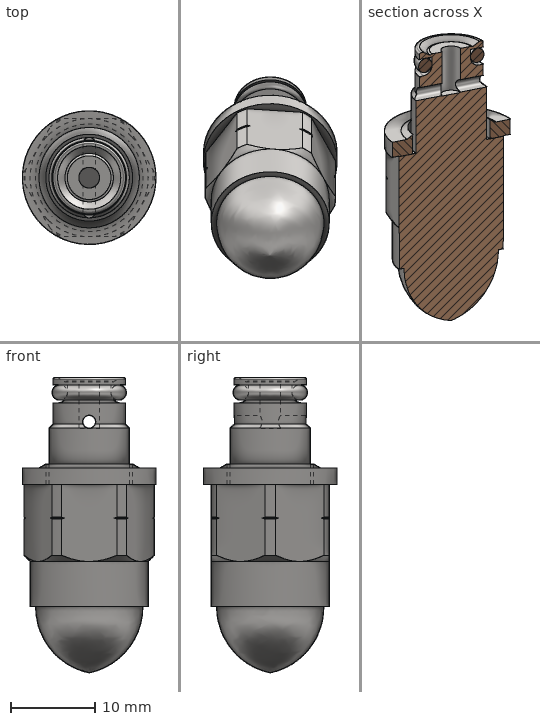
import cadquery as cq
import math


nose_length = 7.85
nose_radius = 6.37
barrel_radius = 7.0
barrel_top = 13.2

hex_top = 22.3
hex_flat_width = 2 * barrel_radius
hex_corner_radius = 7.75
mark_height = 18.35
mark_depth = 0.15
mark_half_width = 0.1

total_height = 35.02
stem_radius = 4.75
neck_radius = 4.3
stem_shoulder_top = 29.5
neck_edge_fillet = 0.25

ring_section_radius = 0.9
ring_outer_radius = 4.4
groove_top = 34.15
groove_bottom = 32.0
groove_floor_radius = ring_outer_radius - 2 * ring_section_radius
groove_fillet = 1.15

seat_outer_radius = 3.75
seat_inner_radius = 2.87
seat_depth = 0.53
plug_radius = 2.6
plug_rise = 0.1
bore_radius = 1.23
bore_bottom = 28.95
cross_hole_diameter = 1.5
cross_hole_height = 29.75

washer_diameter = 15.85
washer_bore_radius = 5.15
washer_thickness = 2.0
collar_base_radius = 5.95
collar_height = 0.45


def revolve_about_z(profile):
    """Turn a closed XZ profile a full turn about the Z axis."""
    return profile.close().revolve(360, (0, 0, 0), (0, 1, 0))


def cylinder(radius, bottom, top):
    return cq.Workplane("XY").workplane(offset=bottom).circle(radius).extrude(top - bottom)


def make_nose():
    """Pointed ogive whose side meets the barrel face vertically."""
    arc_radius = (nose_length**2 + nose_radius**2) / (2 * nose_radius)
    half_sweep = math.asin(nose_length / arc_radius) / 2
    arc_center_x = nose_radius - arc_radius
    arc_middle = (
        arc_center_x + arc_radius * math.cos(half_sweep),
        nose_length - arc_radius * math.sin(half_sweep),
    )
    profile = (
        cq.Workplane("XZ")
        .moveTo(0, 0)
        .threePointArc(arc_middle, (nose_radius, nose_length))
        .lineTo(0, nose_length)
    )
    return revolve_about_z(profile)


def make_hexagon():
    """Hexagon with flats facing +Y and -Y, trimmed by a turned envelope."""
    across_corners = hex_flat_width / math.cos(math.pi / 6)
    prism = (
        cq.Workplane("XY")
        .workplane(offset=barrel_top)
        .polygon(6, across_corners)
        .extrude(hex_top - barrel_top)
    )
    chamfer = hex_corner_radius - barrel_radius
    envelope = (
        cq.Workplane("XZ")
        .moveTo(0, barrel_top)
        .lineTo(barrel_radius, barrel_top)
        .lineTo(hex_corner_radius, barrel_top + chamfer)
        .lineTo(hex_corner_radius, mark_height - mark_half_width)
        .lineTo(hex_corner_radius - mark_depth, mark_height)
        .lineTo(hex_corner_radius, mark_height + mark_half_width)
        .lineTo(hex_corner_radius, hex_top)
        .lineTo(0, hex_top)
    )
    return prism.intersect(revolve_about_z(envelope))


def make_stem():
    """Stepped stem with the O-ring groove and the conical seat in its top."""
    shoulder_chamfer = stem_radius - neck_radius
    arc_offset = groove_fillet * (1 - math.sqrt(0.5))
    seat_bottom = total_height - seat_depth
    plug_top = seat_bottom + plug_rise
    edge_offset = neck_edge_fillet * (1 - math.sqrt(0.5))
    profile = (
        cq.Workplane("XZ")
        .moveTo(0, hex_top)
        .lineTo(stem_radius, hex_top)
        .lineTo(stem_radius, stem_shoulder_top - shoulder_chamfer)
        .lineTo(neck_radius, stem_shoulder_top)
        .lineTo(neck_radius, groove_bottom)
        .lineTo(groove_floor_radius + groove_fillet, groove_bottom)
        .threePointArc(
            (groove_floor_radius + arc_offset, groove_bottom + arc_offset),
            (groove_floor_radius, groove_bottom + groove_fillet),
        )
        .lineTo(groove_floor_radius, groove_top)
        .lineTo(neck_radius, groove_top)
        .lineTo(neck_radius, total_height - neck_edge_fillet)
        .threePointArc(
            (neck_radius - edge_offset, total_height - edge_offset),
            (neck_radius - neck_edge_fillet, total_height),
        )
        .lineTo(seat_outer_radius, total_height)
        .lineTo(seat_inner_radius, seat_bottom)
        .lineTo(plug_radius, plug_top)
        .lineTo(0, plug_top)
    )
    return revolve_about_z(profile)


def make_passages():
    """Blind axial bore from the top that meets the hole crossing the stem along Y."""
    bore = cylinder(bore_radius, bore_bottom, total_height)
    cross_hole = (
        cq.Workplane("XZ")
        .center(0, cross_hole_height)
        .circle(cross_hole_diameter / 2)
        .extrude(stem_radius, both=True)
    )
    return bore.union(cross_hole)


def make_housing():
    barrel = cylinder(barrel_radius, nose_length, barrel_top)
    solid = make_nose().union(barrel).union(make_hexagon()).union(make_stem())
    return solid.cut(make_passages())


def make_washer():
    """Flat washer with a low conical collar that narrows to its bore."""
    flange_top = hex_top + washer_thickness
    profile = (
        cq.Workplane("XZ")
        .moveTo(washer_bore_radius, hex_top)
        .lineTo(washer_diameter / 2, hex_top)
        .lineTo(washer_diameter / 2, flange_top)
        .lineTo(collar_base_radius, flange_top)
        .lineTo(washer_bore_radius, flange_top + collar_height)
    )
    return revolve_about_z(profile)


def make_o_ring():
    """Ring resting against the upper wall and the floor of its groove."""
    center_radius = ring_outer_radius - ring_section_radius
    section = (
        cq.Workplane("XZ")
        .center(center_radius, groove_top - ring_section_radius)
        .circle(ring_section_radius)
    )
    return section.revolve(360, (-center_radius, 0, 0), (-center_radius, 1, 0))


housing = make_housing()
washer = make_washer()
o_ring = make_o_ring()

result = cq.Compound.makeCompound([housing.val(), washer.val(), o_ring.val()])